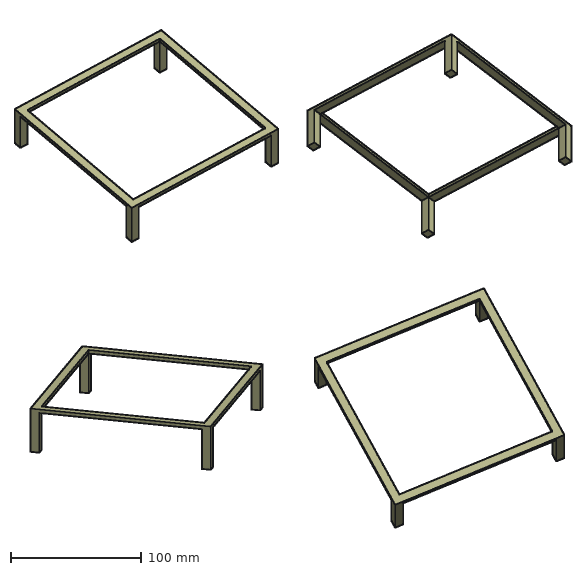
import cadquery as cq

side = 144.0
height = 35.5

rail_width = 7.0
rail_thickness = 3.0

opening = side - 2 * rail_width
leg_height = height - rail_thickness
leg_spacing = side - rail_width


def make_frame():
    """Flat square frame lying on top of the legs."""
    outer = cq.Workplane("XY").workplane(offset=leg_height).rect(side, side)
    return outer.rect(opening, opening).extrude(rail_thickness)


def make_legs():
    """Square leg under each corner, running up to the top face of the frame."""
    corners = cq.Workplane("XY").rect(leg_spacing, leg_spacing, forConstruction=True).vertices()
    return corners.rect(rail_width, rail_width).extrude(height)


result = make_frame().union(make_legs())